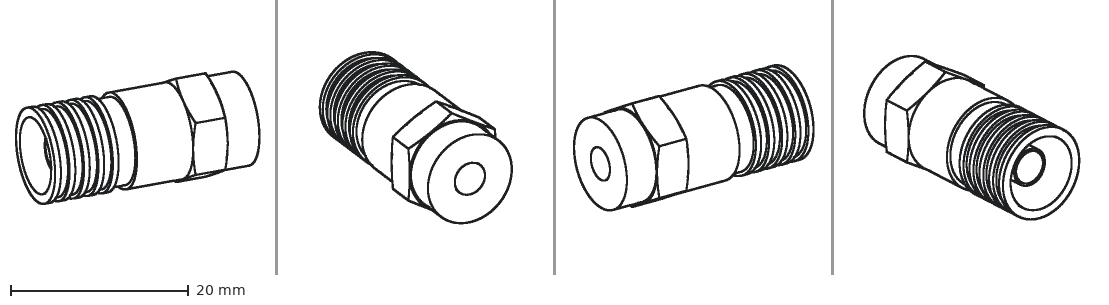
import cadquery as cq
import math

TOTAL_LENGTH = 25.15
NECK_END = 10.03
HEX_START = 16.93
HEX_END = 21.18

HEX_ACROSS_FLATS = 11.1
BODY_RADIUS = HEX_ACROSS_FLATS / 2
NECK_RADIUS = 5.05
RING_RADIUS = 5.5
COLLAR_RADIUS = 5.38

RING_COUNT = 5
RING_WIDTH = 0.7
LAST_RING_START = 7.1
RING_PITCH = LAST_RING_START / (RING_COUNT - 1)

SLEEVE_BORE_RADIUS = 4.4
SLEEVE_DEPTH = 16.93
POST_RADIUS = 2.21
POST_BORE_RADIUS = 1.94
POST_SETBACK = 2.1

HEX_CORNER_RADIUS = BODY_RADIUS / math.cos(math.pi / 6)
CORNER_TRIM_LENGTH = 0.3


def cylinder(radius, start, end):
    """Solid cylinder along Y between two axial stations."""
    return cq.Workplane("XZ", origin=(0, start, 0)).circle(radius).extrude(start - end)


def hex_nut():
    """Hexagon with corners on +Z and -Z and both ends trimmed by cones."""
    prism = (
        cq.Workplane("XZ", origin=(0, HEX_START, 0))
        .polygon(6, 2 * HEX_CORNER_RADIUS)
        .extrude(HEX_START - HEX_END)
        .rotate((0, 0, 0), (0, 1, 0), 30)
    )
    envelope = (
        cq.Workplane("XY")
        .moveTo(0, HEX_START)
        .lineTo(BODY_RADIUS, HEX_START)
        .lineTo(HEX_CORNER_RADIUS, HEX_START + CORNER_TRIM_LENGTH)
        .lineTo(HEX_CORNER_RADIUS, HEX_END - CORNER_TRIM_LENGTH)
        .lineTo(BODY_RADIUS, HEX_END)
        .lineTo(0, HEX_END)
        .close()
        .revolve(360, (0, 0, 0), (0, 1, 0))
    )
    return prism.intersect(envelope)


def outer_shell():
    """Neck with its rings, body, hexagon and rear collar."""
    shell = cylinder(NECK_RADIUS, 0, NECK_END)
    for index in range(RING_COUNT):
        ring_start = index * RING_PITCH
        shell = shell.union(cylinder(RING_RADIUS, ring_start, ring_start + RING_WIDTH))
    shell = shell.union(cylinder(BODY_RADIUS, NECK_END, HEX_START))
    shell = shell.union(hex_nut())
    return shell.union(cylinder(COLLAR_RADIUS, HEX_END, TOTAL_LENGTH))


sleeve_cavity = cylinder(SLEEVE_BORE_RADIUS, 0, SLEEVE_DEPTH)
post = cylinder(POST_RADIUS, POST_SETBACK, SLEEVE_DEPTH)
through_bore = cylinder(POST_BORE_RADIUS, 0, TOTAL_LENGTH)

result = outer_shell().cut(sleeve_cavity).union(post).cut(through_bore)